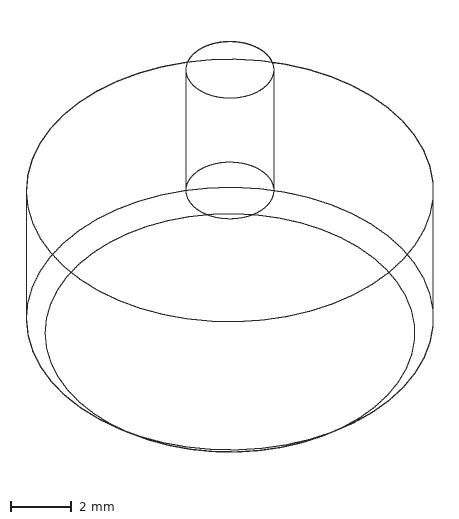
import cadquery as cq

body_diameter = 13.4
pin_diameter = 2.9
total_height = 13.2
pin_length = 5.2
cone_height = 1.86
chamfer = 0.62

body_radius = body_diameter / 2
pin_radius = pin_diameter / 2
cone_radius = body_radius - chamfer
wall_bottom_z = cone_height + chamfer
shoulder_z = total_height - pin_length

profile = (
    cq.Workplane("XZ")
    .lineTo(cone_radius, cone_height)
    .lineTo(body_radius, wall_bottom_z)
    .lineTo(body_radius, shoulder_z)
    .lineTo(pin_radius, shoulder_z)
    .lineTo(pin_radius, total_height)
    .lineTo(0, total_height)
    .close()
)

result = profile.revolve(360, (0, 0, 0), (0, 1, 0))